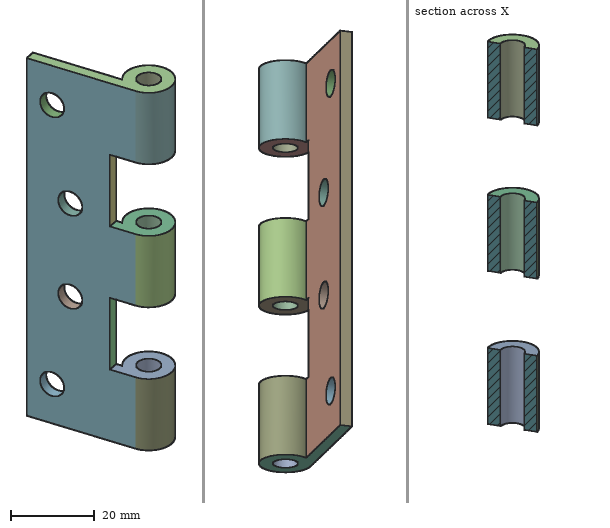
import cadquery as cq

leaf_height = 100.0
leaf_thickness = 3.0
pin_axis_x = 30.0
bottom_z = -leaf_height / 2

barrel_radius = 6.35
pin_hole_diameter = 6.0

segment_count = 5
segment_height = leaf_height / segment_count
gap_depth = 7.0

screw_hole_diameter = 6.6
outer_hole_x = 7.0
outer_hole_z = 39.0
inner_hole_x = 12.0
inner_hole_z = 13.0


def make_pin_axis_cylinder(radius):
    """Full-height cylinder around the pin axis."""
    base = cq.Workplane("XY", origin=(pin_axis_x, barrel_radius, bottom_z))
    return base.circle(radius).extrude(leaf_height)


def make_leaf():
    base = cq.Workplane("XY", origin=(0, 0, bottom_z))
    return base.box(pin_axis_x, leaf_thickness, leaf_height, centered=False)


def make_gap(segment_index):
    """Clearance for one knuckle of the mating leaf."""
    gap_bottom_z = bottom_z + segment_index * segment_height
    base = cq.Workplane("XY", origin=(pin_axis_x - gap_depth, 0, gap_bottom_z))
    return base.box(gap_depth + barrel_radius, 2 * barrel_radius, segment_height, centered=False)


def make_screw_holes():
    centres = []
    for side in (-1, 1):
        centres.append((outer_hole_x, side * outer_hole_z))
        centres.append((inner_hole_x, side * inner_hole_z))
    return cq.Workplane("XZ").pushPoints(centres).circle(screw_hole_diameter / 2).extrude(-leaf_thickness)


result = make_leaf().union(make_pin_axis_cylinder(barrel_radius))
result = result.cut(make_pin_axis_cylinder(pin_hole_diameter / 2))
for gap_index in range(1, segment_count, 2):
    result = result.cut(make_gap(gap_index))
result = result.cut(make_screw_holes())